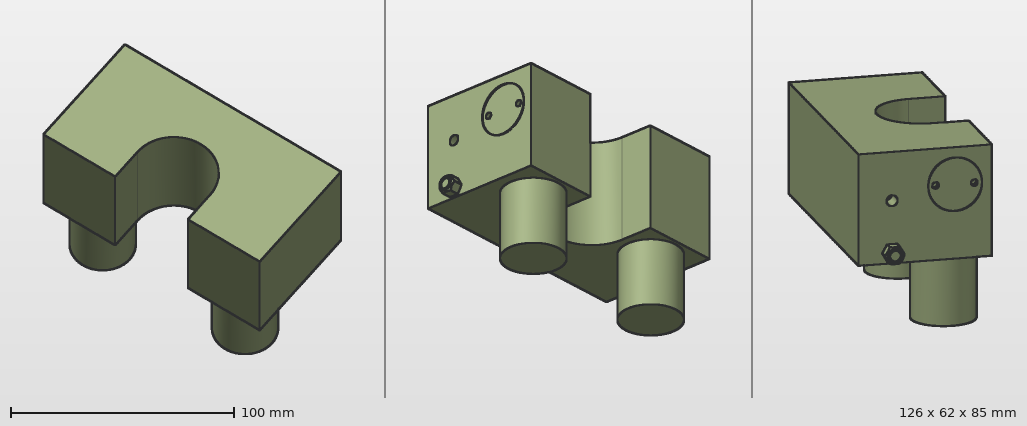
import cadquery as cq
import math

OVERALL_LENGTH = 126.0
OVERALL_HEIGHT = 85.0
BLOCK_LENGTH = 120.1
BLOCK_DEPTH = 62.0
BLOCK_HEIGHT = 52.0
LEFT_FACE_X = -BLOCK_LENGTH / 2

MAIN_AXIS_Y = 17.0

SLOT_WIDTH = 40.3

LEG_DIAMETER = 30.0
LEG_LENGTH = OVERALL_HEIGHT - BLOCK_HEIGHT
LEG_SPACING = 79.0

COVER_DIAMETER = 25.0
COVER_RECESS = 0.5
COVER_FROM_TOP = 17.4
COVER_Z = BLOCK_HEIGHT - COVER_FROM_TOP
SPANNER_HOLE_DIAMETER = 3.0
SPANNER_HOLE_SPACING = 18.0
SPANNER_HOLE_DEPTH = 3.0

PORT_FROM_BACK = 15.6
PORT_Y = BLOCK_DEPTH - PORT_FROM_BACK
PORT_DIAMETER = 5.0
PORT_DEPTH = 10.1
PORT_Z = 29.2

FITTING_Z = 5.0
FITTING_LENGTH = OVERALL_LENGTH - BLOCK_LENGTH
FITTING_ACROSS_FLATS = 8.0
FITTING_TIP_DIAMETER = 6.8
FITTING_BEVEL_LENGTH = 1.4
FITTING_DIMPLE_DIAMETER = 5.0
FITTING_DIMPLE_DEPTH = 0.1


def cylinder_along_x(x_start, length, y, z, diameter):
    """Cylinder running in +X from x_start."""
    return cq.Workplane("YZ", origin=(x_start, y, z)).circle(diameter / 2).extrude(length)


def make_block():
    block = cq.Workplane("XY").box(BLOCK_LENGTH, BLOCK_DEPTH, BLOCK_HEIGHT, centered=(True, False, False))
    slot_straight = cq.Workplane("XY").box(
        SLOT_WIDTH, MAIN_AXIS_Y, BLOCK_HEIGHT, centered=(True, False, False)
    )
    slot_end = cq.Workplane("XY").center(0, MAIN_AXIS_Y).circle(SLOT_WIDTH / 2).extrude(BLOCK_HEIGHT)
    return block.cut(slot_straight).cut(slot_end)


def make_legs():
    leg_places = [(side * LEG_SPACING / 2, MAIN_AXIS_Y) for side in (-1, 1)]
    return cq.Workplane("XY").pushPoints(leg_places).circle(LEG_DIAMETER / 2).extrude(-LEG_LENGTH)


def cut_cover(body):
    body = body.cut(cylinder_along_x(LEFT_FACE_X, COVER_RECESS, MAIN_AXIS_Y, COVER_Z, COVER_DIAMETER))
    for side in (-1, 1):
        hole_y = MAIN_AXIS_Y + side * SPANNER_HOLE_SPACING / 2
        body = body.cut(
            cylinder_along_x(LEFT_FACE_X, SPANNER_HOLE_DEPTH, hole_y, COVER_Z, SPANNER_HOLE_DIAMETER)
        )
    return body


def make_fitting():
    """Hexagon with flats up and down, its outer end bevelled by a cone and shallowly dimpled."""
    tip_x = LEFT_FACE_X - FITTING_LENGTH
    corner_radius = FITTING_ACROSS_FLATS / 2 / math.cos(math.radians(30))
    hexagon = (
        cq.Workplane("YZ", origin=(tip_x, PORT_Y, FITTING_Z))
        .polygon(6, 2 * corner_radius)
        .extrude(FITTING_LENGTH)
    )
    envelope = (
        cq.Workplane("XY", origin=(tip_x, PORT_Y, FITTING_Z))
        .lineTo(0, FITTING_TIP_DIAMETER / 2)
        .lineTo(FITTING_BEVEL_LENGTH, corner_radius)
        .lineTo(FITTING_LENGTH, corner_radius)
        .lineTo(FITTING_LENGTH, 0)
        .close()
        .revolve(360, (0, 0, 0), (1, 0, 0))
    )
    dimple = cylinder_along_x(tip_x, FITTING_DIMPLE_DEPTH, PORT_Y, FITTING_Z, FITTING_DIMPLE_DIAMETER)
    return hexagon.intersect(envelope).cut(dimple)


def cut_port(body):
    return body.cut(cylinder_along_x(LEFT_FACE_X, PORT_DEPTH, PORT_Y, PORT_Z, PORT_DIAMETER))


body = make_block().union(make_legs())
body = cut_cover(body)
body = cut_port(body)
result = body.union(make_fitting())